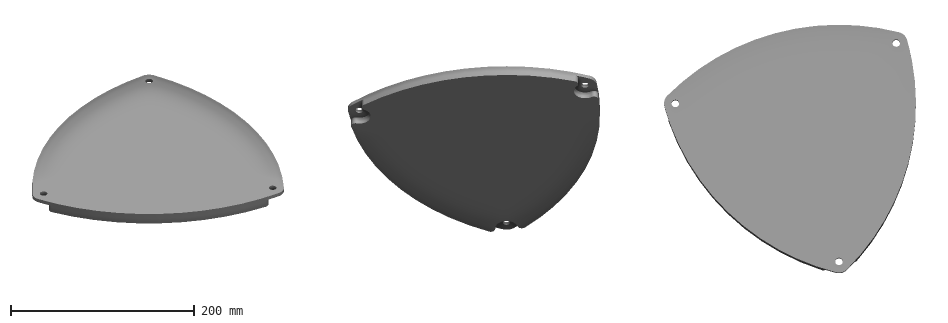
import cadquery as cq
import math

width = 275.0
corner_radius = 12.5
hole_diameter = 8.2
total_height = 12.5
plate_thickness = 4.0
relief_radius = 12.5
relief_edge_radius = 5.0

hole_spacing = width - 2 * corner_radius
side_radius = width - corner_radius
hole_circle_radius = hole_spacing / math.sqrt(3)
body_height = total_height - plate_thickness
corner_angles = [-90, 30, 150]
half_corner_angle = 30
corner_to_side_angle = 60


def polar(center, radius, angle):
    """Point at a radius and an angle in degrees from a center."""
    turn = math.radians(angle)
    return (center[0] + radius * math.cos(turn), center[1] + radius * math.sin(turn))


holes = [polar((0, 0), hole_circle_radius, angle) for angle in corner_angles]


def plate_outline():
    """Three long side arcs joined by tangent corner arcs."""
    outline = cq.Workplane("XY").workplane(offset=body_height)
    outline = outline.moveTo(*polar(holes[0], corner_radius, corner_angles[0] - half_corner_angle))
    for index, angle in enumerate(corner_angles):
        hole = holes[index]
        opposite_hole = holes[index - 1]
        next_hole = holes[(index + 1) % len(holes)]
        side_angle = angle + corner_to_side_angle
        outline = outline.threePointArc(
            polar(hole, corner_radius, angle),
            polar(hole, corner_radius, angle + half_corner_angle),
        ).threePointArc(
            polar(opposite_hole, side_radius, side_angle),
            polar(next_hole, corner_radius, side_angle + half_corner_angle),
        )
    return outline.close()


def body_outline():
    """Side arcs joined by concave reliefs around the holes, with rounded relief edges."""
    round_to_side_center = side_radius - relief_edge_radius
    round_to_hole = relief_radius + relief_edge_radius
    trim_cosine = (hole_spacing**2 + round_to_side_center**2 - round_to_hole**2) / (
        2 * hole_spacing * round_to_side_center
    )
    trim_angle = math.degrees(math.acos(trim_cosine))
    side_half_angle = half_corner_angle - trim_angle

    def edge_round(side_center, hole, side_end_angle):
        """Side tangent point, middle and relief tangent point of one edge round."""
        center = polar(side_center, round_to_side_center, side_end_angle)
        to_hole = math.degrees(math.atan2(hole[1] - center[1], hole[0] - center[0]))
        sweep = (to_hole - side_end_angle + 180) % 360 - 180
        return (
            polar(side_center, side_radius, side_end_angle),
            polar(center, relief_edge_radius, side_end_angle + sweep / 2),
            polar(center, relief_edge_radius, to_hole),
        )

    start_angle = corner_angles[0] - corner_to_side_angle + side_half_angle
    outline = cq.Workplane("XY").moveTo(*polar(holes[1], side_radius, start_angle))
    for index, angle in enumerate(corner_angles):
        hole = holes[index]
        next_hole = holes[(index + 1) % len(holes)]
        opposite_hole = holes[index - 1]
        previous_side = angle - corner_to_side_angle
        next_side = angle + corner_to_side_angle
        before = edge_round(next_hole, hole, previous_side + side_half_angle)
        after = edge_round(opposite_hole, hole, next_side - side_half_angle)
        outline = (
            outline.threePointArc(before[1], before[2])
            .threePointArc(polar(hole, relief_radius, angle + 180), after[2])
            .threePointArc(after[1], after[0])
            .threePointArc(
                polar(opposite_hole, side_radius, next_side),
                polar(opposite_hole, side_radius, next_side + side_half_angle),
            )
        )
    return outline.close()


plate = plate_outline().extrude(plate_thickness)
body = body_outline().extrude(body_height)
hole_cutters = cq.Workplane("XY").pushPoints(holes).circle(hole_diameter / 2).extrude(total_height)

result = plate.union(body).cut(hole_cutters)